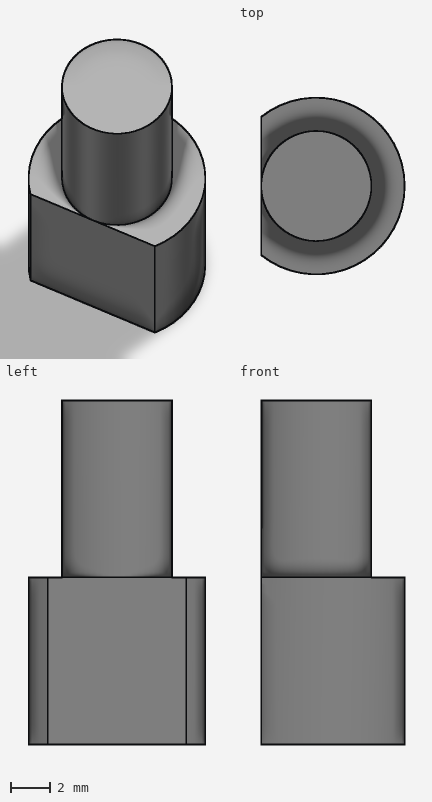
import cadquery as cq

total_height = 17.5
base_height = 8.5
base_diameter = 9.0
pin_diameter = 5.6

base_radius = base_diameter / 2
flat_x = -pin_diameter / 2
flat_half_width = (base_radius**2 - flat_x**2) ** 0.5

base = (
    cq.Workplane("XY")
    .moveTo(flat_x, -flat_half_width)
    .threePointArc((base_radius, 0), (flat_x, flat_half_width))
    .close()
    .extrude(base_height)
)

pin = (
    cq.Workplane("XY")
    .workplane(offset=base_height)
    .circle(pin_diameter / 2)
    .extrude(total_height - base_height)
)

result = base.union(pin)